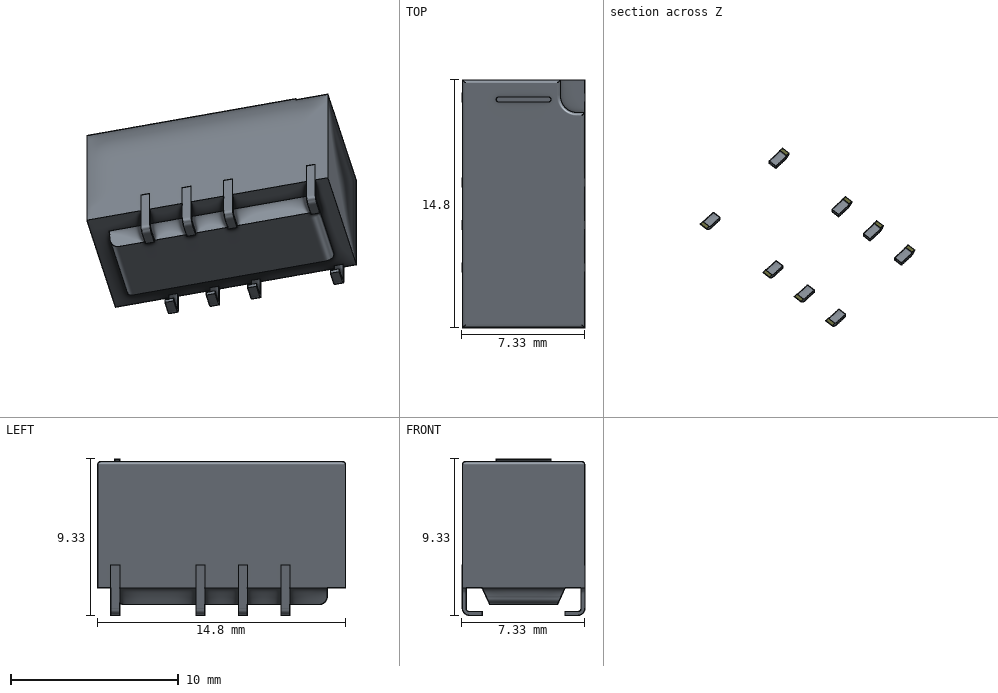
import cadquery as cq

case_width = 7.30
case_length = 14.80
case_bottom = 1.65
case_top = 9.20
rim_radius = 0.20

recess_depth = 0.22
recess_width = 1.45
recess_length = 1.95
recess_radius = 1.00

bar_length = 3.27
bar_width = 0.30
bar_height = 0.13
bar_y = 6.23

base_top_width = 4.96
base_bottom_width = 4.04
base_length = 12.62
base_height = 1.00
base_radius = 0.50

terminal_span = 7.33
terminal_width = 0.54
terminal_thickness = 0.25
foot_length = 1.20
terminal_rise = 1.36
terminal_top = case_bottom + terminal_rise
bend_outer_radius = 0.45
bend_inner_radius = 0.15
pitch = 2.54
terminal_rows = [2.5 * pitch, 0.5 * pitch, -0.5 * pitch, -1.5 * pitch]


def make_case():
    """Box with one scooped top corner and a rounded rim around the remaining top face."""
    right = case_width / 2
    back = case_length / 2
    recess_left = right - recess_width
    recess_front = back - recess_length
    box = (
        cq.Workplane("XY", origin=(0, 0, case_bottom))
        .rect(case_width, case_length)
        .extrude(case_top - case_bottom)
    )
    recess = (
        cq.Workplane("XY", origin=(0, 0, case_top - recess_depth))
        .moveTo(right, back)
        .lineTo(right, recess_front)
        .lineTo(recess_left + recess_radius, recess_front)
        .radiusArc((recess_left, recess_front + recess_radius), recess_radius)
        .lineTo(recess_left, back)
        .close()
        .extrude(recess_depth)
    )
    return box.cut(recess).faces(">Z").edges().fillet(rim_radius)


def make_bar():
    """Round-ended bar standing on the top face."""
    return (
        cq.Workplane("XY", origin=(0, bar_y, case_top))
        .slot2D(bar_length, bar_width)
        .extrude(bar_height)
    )


def make_base():
    """Trapezoidal block along Y with its two lower end edges rounded."""
    base_bottom = case_bottom - base_height
    block = (
        cq.Workplane("XZ")
        .moveTo(-base_top_width / 2, case_bottom)
        .lineTo(base_top_width / 2, case_bottom)
        .lineTo(base_bottom_width / 2, base_bottom)
        .lineTo(-base_bottom_width / 2, base_bottom)
        .close()
        .extrude(base_length / 2, both=True)
    )
    return block.faces("<Z").edges("|X").fillet(base_radius)


def make_terminal(y):
    """Terminal on the -X side, centred at y, with its foot turned inwards."""
    outer = -terminal_span / 2
    inner = outer + terminal_thickness
    foot_end = outer + foot_length
    return (
        cq.Workplane("XZ", origin=(0, y, 0))
        .moveTo(outer, terminal_top)
        .lineTo(outer, bend_outer_radius)
        .radiusArc((outer + bend_outer_radius, 0), -bend_outer_radius)
        .lineTo(foot_end, 0)
        .lineTo(foot_end, terminal_thickness)
        .lineTo(inner + bend_inner_radius, terminal_thickness)
        .radiusArc((inner, terminal_thickness + bend_inner_radius), bend_inner_radius)
        .lineTo(inner, terminal_top)
        .close()
        .extrude(terminal_width / 2, both=True)
    )


result = make_case().union(make_bar()).union(make_base())
for row_y in terminal_rows:
    terminal = make_terminal(row_y)
    result = result.union(terminal).union(terminal.mirror("YZ"))